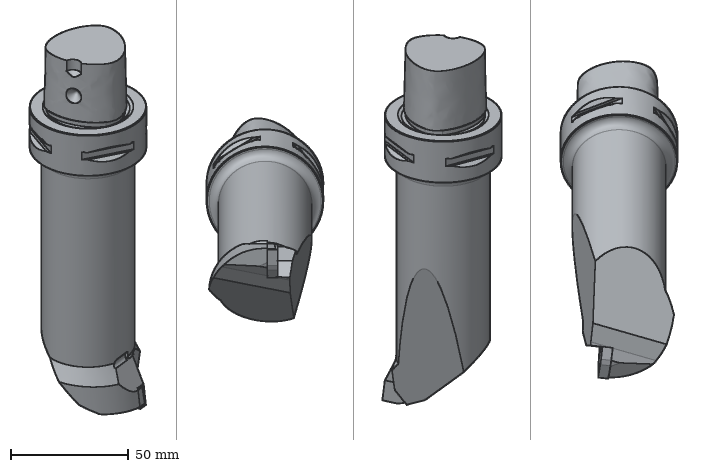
import cadquery as cq
import math


taper_length = 30.0
taper_top_radius = 17.0
taper_slope = 0.022
lobe_height = 1.22
outline_points = 36
neck_radius = 17.8
neck_height = 1.7
neck_inset = 0.5
face_groove_radius = 19.4
face_groove_depth = 0.7

notch_radius = 3.7
notch_axis_y = -17.2
notch_depth = 5.1
notch_point_depth = 3.0
dimple_radius = 3.5
dimple_z = 13.6
dimple_mouth_y = -16.0
dimple_cone_depth = 3.7

flange_radius = 25.0
flange_height = 20.0
flange_chamfer = 0.3
groove_z = -10.2
groove_floor_radius = 22.0
groove_wall_depth = 1.2
groove_floor_width = 3.5
groove_mouth_width = 6.8
groove_count = 4
groove_first_angle = 45.0

bar_diameter = 40.0
bar_radius = bar_diameter / 2
neck_fillet = 3.9
tool_length = 140.0
tip_x = 26.9

head_start_z = -116.3
head_radius = 24.0
head_offset_x = 2.5
head_lean = 0.13
flare_slope = 1.75
flare_reach = 10.2
head_corner_z = -131.5
head_corner_middle = (-23.0, -135.0)
head_corner_y = -20.0
head_corner_end_z = -137.0
head_bottom_z = -139.0
head_bottom_y = -3.5

slope_start_z = -107.0
slope_bend_x = 5.6
slope_bend_z = slope_start_z - (slope_bend_x + bar_radius)
seat_relief = 0.7

flute_y = 29.2
flute_run_x = 0.16
flute_run_z = 0.14

side_x = bar_radius
side_z = -118.5
side_start_z = -117.3
side_run_z = 0.48
side_run_y = 0.19

dish_radius = 2.5
dish_z = -116.3
dish_end_y = -3.4

insert_thickness = 4.5
rake_angle = 12.0
rake_y = -0.2
lower_edge = [(tip_x, -tool_length), (19.7, -tool_length), (17.3, -139.4), (12.8, -136.7)]
insert_back = (17.8, -130.2)
insert_top = (25.7, -130.2)

chip_space_depth = 25.5
chip_space_wall_x = 12.4
chip_space_top_x = 18.7
chip_space_top_z = -116.6

big = 340.0


def half_space(point, normal):
    """Large block that fills the side of a plane towards which the normal points."""
    plane = cq.Plane(origin=point, normal=normal)
    return cq.Workplane(plane).rect(big, big).extrude(big)


def lobed_outline(mean_radius, z):
    """Closed three-lobed curve of constant width with one lobe towards +Y."""
    points = []
    for i in range(outline_points):
        turn = 2 * math.pi * i / outline_points
        lobe_turn = 3 * (turn - math.pi / 2)
        support = mean_radius + lobe_height * math.cos(lobe_turn)
        slide = -3 * lobe_height * math.sin(lobe_turn)
        x = support * math.cos(turn) - slide * math.sin(turn)
        y = support * math.sin(turn) + slide * math.cos(turn)
        points.append(cq.Vector(x, y, z))
    return cq.Wire.assembleEdges([cq.Edge.makeSpline(points, periodic=True)])


def make_taper():
    """Tapered lobed shank with a key notch and a conical dimple."""
    foot_radius = taper_top_radius + taper_slope * (taper_length - neck_height)
    foot = lobed_outline(foot_radius, neck_height)
    taper = cq.Workplane(cq.Solid.makeLoft([foot, lobed_outline(taper_top_radius, taper_length)], True))
    notch = (
        cq.Workplane("XZ", origin=(0, notch_axis_y, 0))
        .moveTo(0, taper_length)
        .lineTo(notch_radius, taper_length)
        .lineTo(notch_radius, taper_length - notch_depth)
        .lineTo(0, taper_length - notch_depth - notch_point_depth)
        .close()
        .revolve(360, (0, 0, 0), (0, 1, 0))
    )
    dimple = cq.Workplane(
        cq.Solid.makeCone(
            dimple_radius,
            0,
            dimple_cone_depth,
            pnt=cq.Vector(0, dimple_mouth_y, dimple_z),
            dir=cq.Vector(0, 1, 0),
        )
    )
    dimple_mouth = cq.Workplane("XZ", origin=(0, dimple_mouth_y, dimple_z)).circle(dimple_radius)
    dimple_mouth = dimple_mouth.extrude(dimple_radius)
    return taper.cut(notch).cut(dimple).cut(dimple_mouth)


def make_neck():
    """Recessed foot of the taper, a lobed column trimmed to a round."""
    foot_radius = taper_top_radius + taper_slope * (taper_length - neck_height)
    height = neck_height + face_groove_depth
    outline = lobed_outline(foot_radius - neck_inset, -face_groove_depth)
    column = cq.Workplane(cq.Solid.extrudeLinear(outline, [], cq.Vector(0, 0, height)))
    round_column = cq.Workplane("XY", origin=(0, 0, -face_groove_depth)).circle(neck_radius).extrude(height)
    return column.intersect(round_column)


def make_flange_and_bar():
    """Round flange and bar joined by a hollow fillet, with a shallow groove in the flange face."""
    arc_drop = neck_fillet * math.sqrt(0.5)
    profile = (
        cq.Workplane("XZ")
        .moveTo(0, -face_groove_depth)
        .lineTo(neck_radius, -face_groove_depth)
        .lineTo(face_groove_radius, 0)
        .lineTo(flange_radius - flange_chamfer, 0)
        .lineTo(flange_radius, -flange_chamfer)
        .lineTo(flange_radius, flange_chamfer - flange_height)
        .lineTo(flange_radius - flange_chamfer, -flange_height)
        .lineTo(bar_radius + neck_fillet, -flange_height)
        .threePointArc(
            (bar_radius + neck_fillet - arc_drop, -flange_height - neck_fillet + arc_drop),
            (bar_radius, -flange_height - neck_fillet),
        )
        .lineTo(bar_radius, -tool_length)
        .lineTo(0, -tool_length)
        .close()
    )
    return profile.revolve(360, (0, 0, 0), (0, 1, 0))


def cut_gripper_grooves(body):
    """Straight grooves across the flange rim, each square to its own radius."""
    wall_end = groove_floor_radius + groove_wall_depth
    section = (
        cq.Workplane("XZ", origin=(0, flange_radius, groove_z))
        .moveTo(groove_floor_radius, -groove_floor_width / 2)
        .lineTo(groove_floor_radius, groove_floor_width / 2)
        .lineTo(wall_end, groove_floor_width / 2)
        .lineTo(flange_radius, groove_mouth_width / 2)
        .lineTo(flange_radius, -groove_mouth_width / 2)
        .lineTo(wall_end, -groove_floor_width / 2)
        .close()
    )
    groove = section.extrude(2 * flange_radius)
    for i in range(groove_count):
        body = body.cut(groove.rotate((0, 0, 0), (0, 0, 1), groove_first_angle + 360 / groove_count * i))
    return body


def make_head():
    """Cone flaring out of the bar, trimmed by a larger cylinder leaning towards +X at the tip."""
    flare_radius = bar_radius + flare_reach
    flare = (
        cq.Workplane("XZ")
        .moveTo(0, head_start_z)
        .lineTo(bar_radius, head_start_z)
        .lineTo(flare_radius, head_start_z - flare_reach * flare_slope)
        .lineTo(flare_radius, -tool_length)
        .lineTo(0, -tool_length)
        .close()
        .revolve(360, (0, 0, 0), (0, 1, 0))
    )
    axis_plane = cq.Plane(
        origin=(head_offset_x, 0, -tool_length),
        xDir=(0, 1, 0),
        normal=(-head_lean, 0, 1),
    )
    height = tool_length + head_start_z
    cylinder = cq.Workplane(axis_plane).circle(head_radius).extrude(2 * height, both=True)
    return flare.intersect(cylinder)


def prism_on_rake(outline, near, far):
    """Outline in (x, z) swept square to the rake face, between two heights above that face."""
    prism = cq.Workplane("XZ", origin=(0, far + rake_y, 0)).polyline(outline).close().extrude(far - near)
    return prism.rotate((tip_x, rake_y, 0), (tip_x, rake_y, 1), -rake_angle)


def make_insert():
    return prism_on_rake([*lower_edge, insert_back, insert_top], -insert_thickness, 0)


def make_chip_space():
    """Clearance in front of the rake face, open towards +X and +Y."""
    outline = [
        (chip_space_wall_x, -tool_length),
        lower_edge[-1],
        insert_back,
        (chip_space_top_x, chip_space_top_z),
        (tip_x + bar_radius, chip_space_top_z),
        (tip_x + bar_radius, -tool_length),
    ]
    return prism_on_rake(outline, 0, chip_space_depth)


def cut_side_relief(body):
    """Sloping side relief whose upper end on the -Y half runs out in a round dish."""
    side = half_space((side_x, 0, side_z), (1, -side_run_y, side_run_z))
    body = body.cut(side.intersect(half_space((0, 0, side_start_z), (0, 0, -1))))

    front_half = half_space((0, dish_end_y, 0), (0, -1, 0))
    below_dish = half_space((0, 0, dish_z), (0, 0, -1))
    body = body.cut(side.intersect(front_half).intersect(below_dish))

    dish_x = side_x + side_run_z * (side_z - dish_z) + side_run_y * dish_end_y + dish_radius
    dish_plane = cq.Plane(origin=(dish_x, dish_end_y, dish_z), xDir=(0, 0, 1), normal=(-side_run_y, -1, 0))
    return body.cut(cq.Workplane(dish_plane).circle(dish_radius).extrude(flange_radius))


def cut_underside(body):
    """Slope the underside up towards -X and set it back from the insert's lower edge."""
    flat_start_x = lower_edge[1][0]
    bend_x, bend_z = lower_edge[2]
    corner_x, corner_z = lower_edge[3]
    below = (
        cq.Workplane("XZ", origin=(0, flange_radius * 2, 0))
        .moveTo(-bar_radius - flange_radius, slope_start_z + flange_radius)
        .lineTo(slope_bend_x, slope_bend_z)
        .lineTo(corner_x, corner_z + seat_relief)
        .lineTo(bend_x, bend_z + seat_relief)
        .lineTo(flat_start_x, head_bottom_z)
        .lineTo(tip_x * 2, head_bottom_z)
        .lineTo(tip_x * 2, -tool_length * 2)
        .lineTo(-bar_radius - flange_radius, -tool_length * 2)
        .close()
        .extrude(flange_radius * 4)
    )
    return body.cut(below)


def cut_heel(body):
    """Round the lower -Y corner and tilt the bottom face away from the cutting edge."""
    heel = (
        cq.Workplane("YZ", origin=(-flange_radius * 2, 0, 0))
        .moveTo(-head_radius, head_corner_z)
        .threePointArc(head_corner_middle, (head_corner_y, head_corner_end_z))
        .lineTo(head_bottom_y, head_bottom_z)
        .lineTo(head_bottom_y, -tool_length * 2)
        .lineTo(-head_radius * 2, -tool_length * 2)
        .lineTo(-head_radius * 2, head_corner_z)
        .close()
        .extrude(flange_radius * 4)
    )
    return body.cut(heel)


def make_holder():
    """Tool holder with the insert seat and chip space cut out of its head."""
    bar = cut_gripper_grooves(make_flange_and_bar())
    body = bar.union(make_head())
    body = cut_heel(cut_underside(body))
    flute = half_space((0, flute_y, 0), (flute_run_x, 1, -flute_run_z))
    body = body.cut(flute)
    body = cut_side_relief(body)
    body = body.cut(make_chip_space()).cut(make_insert())
    return body.union(make_neck()).union(make_taper())


holder = make_holder()
insert = make_insert()
result = cq.Compound.makeCompound([holder.val(), insert.val()])